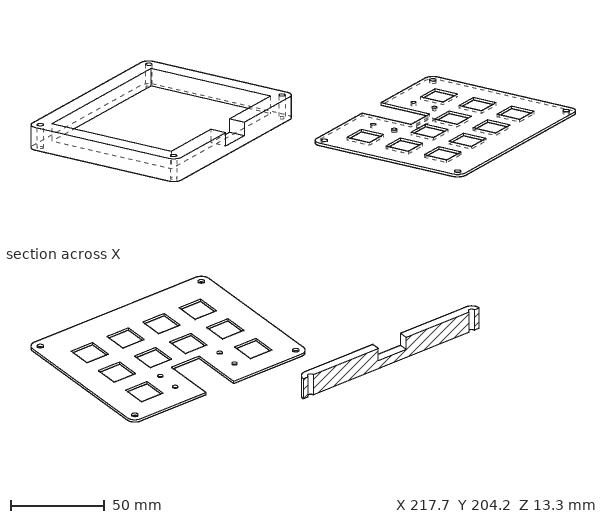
import cadquery as cq

OVERALL_X = 217.7
OVERALL_Y = 204.2
OVERALL_HEIGHT = 13.3

BODY_WIDTH = 94.3
BODY_LENGTH = 116.7
CORNER_RADIUS = 5.0
SCREW_INSET = 5.0
SCREW_HOLE_DIAMETER = 3.5

BAR_WIDTH = 3.0
BAR_LENGTH = 15.9
BAR_HEIGHT = 0.28
BAR_GAP = 1.3

CASE_HEIGHT = OVERALL_HEIGHT - BAR_HEIGHT
CASE_WALL_X = 9.4
CASE_WALL_Y = 9.5
CASE_FLOOR = 3.0
PORT_WIDTH = 18.3
PORT_DEPTH = 7.6
PORT_CENTRE_Y = 57.7

PLATE_OFFSET_X = OVERALL_X - BODY_WIDTH
PLATE_OFFSET_Y = OVERALL_Y - BODY_LENGTH
PLATE_THICKNESS = 1.5
NOTCH_LENGTH = 31.0
NOTCH_WIDTH = 18.3
NOTCH_CENTRE_Y = 59.0

KEY_OPENING = 14.1
KEY_CENTRES = [
    (19.8, 22.2), (44.2, 22.6), (68.4, 22.9),
    (44.5, 47.0), (68.5, 46.8),
    (44.5, 70.3), (68.5, 70.5),
    (20.2, 94.0), (44.5, 94.3), (68.4, 94.5),
]

MOUNT_HOLE_DIAMETER = 2.8
MOUNT_HOLE_CENTRES = [(14.0, 39.0), (27.2, 39.0), (14.4, 78.0), (27.6, 78.0)]


def rounded_slab(height):
    """Rounded rectangle with a screw hole in each corner, standing on Z = 0."""
    centre = (BODY_WIDTH / 2, BODY_LENGTH / 2)
    slab = (
        cq.Workplane("XY")
        .center(*centre)
        .rect(BODY_WIDTH, BODY_LENGTH)
        .extrude(height)
        .edges("|Z")
        .fillet(CORNER_RADIUS)
    )
    screw_holes = (
        cq.Workplane("XY")
        .center(*centre)
        .rect(BODY_WIDTH - 2 * SCREW_INSET, BODY_LENGTH - 2 * SCREW_INSET, forConstruction=True)
        .vertices()
        .circle(SCREW_HOLE_DIAMETER / 2)
        .extrude(height)
    )
    return slab.cut(screw_holes)


def corner_box(x, y, z, length, width, height):
    """Box whose lowest corner is at (x, y, z)."""
    return cq.Workplane("XY").box(length, width, height, centered=False).translate((x, y, z))


def make_case():
    """Open tray with a port slot through its +X wall."""
    pocket = corner_box(
        CASE_WALL_X,
        CASE_WALL_Y,
        CASE_FLOOR,
        BODY_WIDTH - 2 * CASE_WALL_X,
        BODY_LENGTH - 2 * CASE_WALL_Y,
        CASE_HEIGHT - CASE_FLOOR,
    )
    port = corner_box(
        BODY_WIDTH - CASE_WALL_X,
        PORT_CENTRE_Y - PORT_WIDTH / 2,
        CASE_HEIGHT - PORT_DEPTH,
        CASE_WALL_X,
        PORT_WIDTH,
        PORT_DEPTH,
    )
    return rounded_slab(CASE_HEIGHT).cut(pocket).cut(port)


def make_plate():
    """Thin key plate with a side notch, key openings and mounting holes."""
    notch = corner_box(
        0, NOTCH_CENTRE_Y - NOTCH_WIDTH / 2, 0, NOTCH_LENGTH, NOTCH_WIDTH, PLATE_THICKNESS
    )
    key_openings = (
        cq.Workplane("XY").pushPoints(KEY_CENTRES).rect(KEY_OPENING, KEY_OPENING).extrude(PLATE_THICKNESS)
    )
    mount_holes = (
        cq.Workplane("XY")
        .pushPoints(MOUNT_HOLE_CENTRES)
        .circle(MOUNT_HOLE_DIAMETER / 2)
        .extrude(PLATE_THICKNESS)
    )
    bar = corner_box(
        NOTCH_LENGTH + BAR_GAP,
        NOTCH_CENTRE_Y - BAR_LENGTH / 2,
        -BAR_HEIGHT,
        BAR_WIDTH,
        BAR_LENGTH,
        BAR_HEIGHT,
    )
    plate = rounded_slab(PLATE_THICKNESS).cut(notch).cut(key_openings).cut(mount_holes).union(bar)
    return plate.translate((PLATE_OFFSET_X, PLATE_OFFSET_Y, 0))


case = make_case()
plate = make_plate()

result = cq.Compound.makeCompound([case.val(), plate.val()])